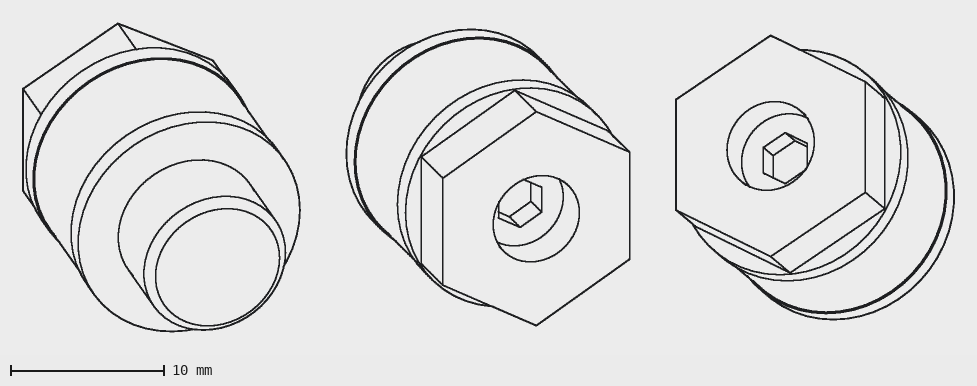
import cadquery as cq
import math

head_length = 4.0
head_across_flats = 13.0

collar_length = 1.5
collar_diameter = 15.2
body_length = 8.0
body_diameter = 15.0

spigot_length = 6.0
spigot_diameter = 9.7
spigot_chamfer = 0.6

bore_diameter = 6.0
bore_depth = 3.0
socket_across_flats = 3.0
socket_depth = 2.0


def cylinder(x_start, length, diameter):
    """Cylinder along +X, starting at x_start."""
    return cq.Workplane("YZ", origin=(x_start, 0, 0)).circle(diameter / 2).extrude(length)


def hex_prism(x_start, length, across_flats):
    """Hexagonal prism along +X, with two of its corners on the Z axis."""
    corner_radius = across_flats / math.sqrt(3)
    corner_angles = [math.radians(90 + 60 * i) for i in range(6)]
    corners = [(corner_radius * math.cos(a), corner_radius * math.sin(a)) for a in corner_angles]
    return cq.Workplane("YZ", origin=(x_start, 0, 0)).polyline(corners).close().extrude(length)


def spigot(x_start):
    """Spigot with a chamfered free end."""
    return cylinder(x_start, spigot_length, spigot_diameter).faces(">X").chamfer(spigot_chamfer)


near_collar_x = head_length
body_x = near_collar_x + collar_length
far_collar_x = body_x + body_length
spigot_x = far_collar_x + collar_length

outside = (
    hex_prism(0, head_length, head_across_flats)
    .union(cylinder(near_collar_x, collar_length, collar_diameter))
    .union(cylinder(body_x, body_length, body_diameter))
    .union(cylinder(far_collar_x, collar_length, collar_diameter))
    .union(spigot(spigot_x))
)

bore = cylinder(0, bore_depth, bore_diameter)
socket = hex_prism(bore_depth, socket_depth, socket_across_flats)

result = outside.cut(bore).cut(socket)